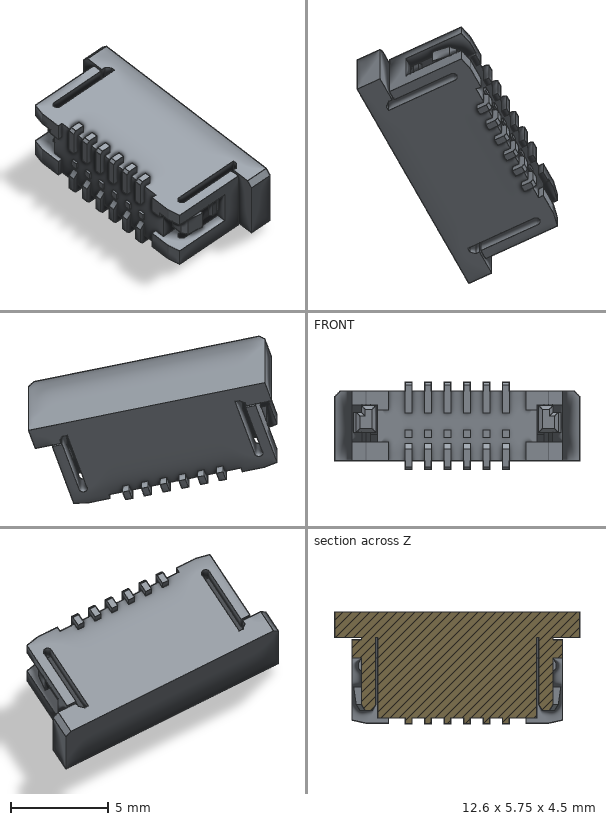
import cadquery as cq
import math


total_depth = 5.75
back_y = total_depth / 2
front_y = -total_depth / 2
body_top = 1.8
body_bottom = -body_top
body_height = body_top - body_bottom

cover_half_width = 6.3
cover_depth = 1.32
cover_front_y = back_y - cover_depth
cover_chamfer = 0.3

housing_half_width = 5.42
cover_gap = 0.1
housing_back_y = cover_front_y - cover_gap
flap_front_y = front_y + 0.03
flap_inner_x = 3.52
flap_bevel_x = 0.72
flap_bevel_y = 0.16
upper_flap_bottom = 0.81
lower_flap_top = -0.82
lead_face_y = front_y + 0.3

window_inner_x = 4.09
window_back_y = 0.505
window_top = 1.08
window_bottom = lower_flap_top

slot_outer_x = 4.89
slot_inner_x = 4.47
slot_width = slot_outer_x - slot_inner_x
slot_back_y = 2.0
slot_front_y = -2.04
slot_cover_outer_x = 4.93
slot_corner_chamfer = 0.23
channel_bottom = -0.44

arm_outer_x = slot_cover_outer_x
arm_inner_x = 4.18
arm_top = 1.05
arm_bottom = -0.33
hook_tip_outer_x = 5.19
hook_back_outer_x = 5.32
hook_shoulder_z = 0.7
hook_back_y = -0.97
hook_taper_start_y = -1.89
hook_taper_length = 0.31
hook_taper_inset = 0.2
hook_taper_angle = math.degrees(math.atan(hook_taper_inset / hook_taper_length))

pad_front_y = -0.18
pad_ramp_length = 0.145
pad_flat_x = 5.075
pad_flat_back_y = 0.235

lead_count = 6
lead_pitch = 1.0
lead_width = 0.35
lead_tip_z = 2.25
lead_back_y = front_y + 0.69
lead_chamfer = 0.15
upper_lead_end_z = 0.66
lower_lead_end_z = -0.9
lower_lead_bevel = lead_face_y - front_y
pin_top = -0.2
pin_bottom = -0.6
pin_length = 0.12


def box(x_range, y_range, z_range):
    """Box between the given limits on each axis."""
    x0, x1 = x_range
    y0, y1 = y_range
    z0, z1 = z_range
    return cq.Workplane("XY").box(x1 - x0, y1 - y0, z1 - z0, centered=False).translate((x0, y0, z0))


def upright(points, bottom, top):
    """Prism with a plan outline of (x, y) points."""
    return cq.Workplane("XY").workplane(offset=bottom).polyline(points).close().extrude(top - bottom)


def both_sides(shape):
    """Shape at +X together with its mirror image at -X."""
    return shape.union(shape.mirror("YZ"))


def make_cover():
    cover = box((-cover_half_width, cover_half_width), (cover_front_y, back_y), (body_bottom, body_top))
    return cover.edges("|Y and >Z").chamfer(cover_chamfer)


def make_housing():
    bevel_y = flap_front_y + flap_bevel_y
    bevel_x = housing_half_width - flap_bevel_x
    half_outline = [
        (0, cover_front_y),
        (slot_inner_x, cover_front_y),
        (slot_inner_x, housing_back_y),
        (housing_half_width, housing_back_y),
        (housing_half_width, bevel_y),
        (bevel_x, flap_front_y),
        (flap_inner_x, flap_front_y),
        (flap_inner_x, lead_face_y),
        (0, lead_face_y),
    ]
    half = upright(half_outline, body_bottom, body_top)
    between_flaps = box(
        (flap_inner_x, housing_half_width), (flap_front_y, lead_face_y), (lower_flap_top, upper_flap_bottom)
    )
    return both_sides(half.cut(between_flaps))


def make_side_openings():
    """Window, channel and slot that clear the latch arm at +X."""
    window = box(
        (window_inner_x, housing_half_width), (flap_front_y, window_back_y), (window_bottom, window_top)
    )
    channel = box(
        (window_inner_x, slot_outer_x), (window_back_y, cover_front_y), (channel_bottom, window_top)
    )
    slot_radius = slot_width / 2
    slot = (
        cq.Workplane("XY")
        .workplane(offset=body_bottom)
        .moveTo(slot_inner_x, slot_back_y)
        .lineTo(slot_cover_outer_x - slot_corner_chamfer, slot_back_y)
        .lineTo(slot_cover_outer_x, slot_back_y - slot_corner_chamfer)
        .lineTo(slot_cover_outer_x, cover_front_y)
        .lineTo(slot_outer_x, cover_front_y)
        .lineTo(slot_outer_x, slot_front_y + slot_radius)
        .threePointArc(
            (slot_outer_x - slot_radius, slot_front_y), (slot_inner_x, slot_front_y + slot_radius)
        )
        .close()
        .extrude(body_height)
    )
    return window.union(channel).union(slot)


def tapered_tip(outer_x, top):
    """Front end of the arm up to the given side and top, tapered on all four sides."""
    width = outer_x - arm_inner_x
    height = top - arm_bottom
    return (
        cq.Workplane("XZ", origin=(arm_inner_x + width / 2, hook_taper_start_y, arm_bottom + height / 2))
        .rect(width, height)
        .extrude(hook_taper_length, taper=hook_taper_angle)
    )


def make_latch_arm():
    """Latch arm at +X, with a stepped hook that tapers toward the front."""
    arm = box((arm_inner_x, arm_outer_x), (hook_taper_start_y, slot_back_y), (arm_bottom, arm_top))
    hook_outline = [
        (arm_inner_x, hook_taper_start_y),
        (hook_tip_outer_x, hook_taper_start_y),
        (hook_back_outer_x, hook_back_y),
        (arm_inner_x, hook_back_y),
    ]
    hook = upright(hook_outline, arm_bottom, hook_shoulder_z)
    arm_tip = tapered_tip(arm_outer_x, arm_top)
    hook_tip = tapered_tip(hook_tip_outer_x, hook_shoulder_z)
    pad_outline = [
        (arm_inner_x, pad_front_y),
        (arm_outer_x, pad_front_y),
        (pad_flat_x, pad_front_y + pad_ramp_length),
        (pad_flat_x, pad_flat_back_y),
        (arm_outer_x, window_back_y),
        (arm_inner_x, window_back_y),
    ]
    pad = upright(pad_outline, arm_bottom, hook_shoulder_z)
    return arm.union(hook).union(arm_tip).union(hook_tip).union(pad)


def make_lead_set():
    """Upper lead, lower lead and pin of one contact, centred on x = 0."""
    upper_profile = [
        (lead_face_y, upper_lead_end_z),
        (front_y, upper_lead_end_z),
        (front_y, lead_tip_z - lead_chamfer),
        (front_y + lead_chamfer, lead_tip_z),
        (lead_back_y, lead_tip_z),
        (lead_back_y, body_top),
        (lead_face_y, body_top),
    ]
    lower_profile = [
        (lead_face_y, lower_lead_end_z),
        (front_y, lower_lead_end_z - lower_lead_bevel),
        (front_y, lead_chamfer - lead_tip_z),
        (front_y + lead_chamfer, -lead_tip_z),
        (lead_back_y, -lead_tip_z),
        (lead_back_y, body_bottom),
        (lead_face_y, body_bottom),
    ]
    side_plane = cq.Workplane("YZ", origin=(-lead_width / 2, 0, 0))
    upper = side_plane.polyline(upper_profile).close().extrude(lead_width)
    lower = side_plane.polyline(lower_profile).close().extrude(lead_width)
    pin = box(
        (-lead_width / 2, lead_width / 2), (lead_face_y - pin_length, lead_face_y), (pin_bottom, pin_top)
    )
    return upper, lower, pin


body = make_cover().union(make_housing())
body = body.cut(both_sides(make_side_openings()))

latch_arm = make_latch_arm()
body = body.union(latch_arm).union(latch_arm.mirror("YZ"))

for index in range(lead_count):
    lead_x = (index - (lead_count - 1) / 2) * lead_pitch
    for piece in make_lead_set():
        body = body.union(piece.translate((lead_x, 0, 0)))

result = body